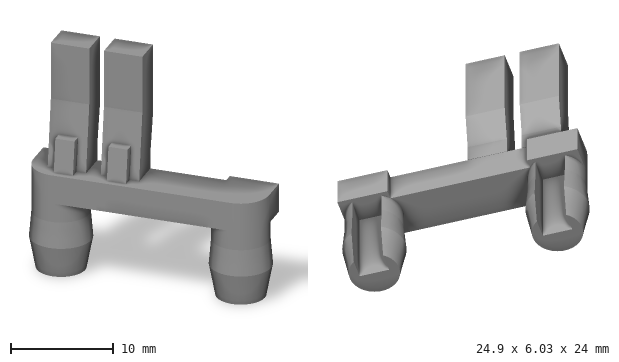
import cadquery as cq


pin_spacing = 18.6
pin_diameter = 5.8
barb_diameter = 6.26
tip_diameter = 5.0
pin_length = 11.01
barb_start_depth = 5.0
barb_depth = 7.7
slot_width = 2.98

bar_height = 3.0
notch_depth = 1.0
end_block_length = 5.1

prong_pitch = 5.5
prong_width = 3.98
prong_height = 12.98
prong_back = 2.64
prong_thickness = 3.0
prong_front_bend = 6.99
prong_back_bend = 5.47
prong_foot_height = 1.8
prong_foot_back = 1.95
prong_foot_front = -1.27

tab_width = 2.0
tab_height = 3.48
tab_thickness = 1.0

pin_radius = pin_diameter / 2
bar_front = -pin_radius
bar_back = pin_radius
bar_length = pin_spacing + pin_diameter
prong_front = prong_back - prong_thickness
front_slope = (prong_front - prong_foot_front) / prong_front_bend
pin_places = (-pin_spacing / 2, pin_spacing / 2)
prong_places = (-1.5 * prong_pitch, -0.5 * prong_pitch)


def box(x_min, x_max, y_min, y_max, z_min, z_max):
    size = (x_max - x_min, y_max - y_min, z_max - z_min)
    return cq.Workplane("XY").box(*size, centered=False).translate((x_min, y_min, z_min))


def side_profile(points, width, x_center):
    """Extrude a (Y, Z) outline along X, centred on x_center."""
    solid = cq.Workplane("YZ").polyline(points).close().extrude(width / 2, both=True)
    return solid.translate((x_center, 0, 0))


def make_bar():
    """Bar with a long notch along its back; the pins fill in its rounded front corners."""
    half_length = bar_length / 2
    back_half = box(-half_length, half_length, 0, bar_back, -bar_height, 0)
    front_half = box(-pin_spacing / 2, pin_spacing / 2, bar_front, 0, -bar_height, 0)
    notch_end = half_length - end_block_length
    notch = box(-notch_end, notch_end, bar_back - notch_depth, bar_back, -bar_height, 0)
    return back_half.union(front_half).cut(notch)


def make_pin(x_center):
    """Round pin with a barb, slotted from the back up to the underside of the bar."""
    outline = [
        (0, 0),
        (pin_radius, 0),
        (pin_radius, -barb_start_depth),
        (barb_diameter / 2, -barb_depth),
        (tip_diameter / 2, -pin_length),
        (0, -pin_length),
    ]
    pin = cq.Workplane("XZ").polyline(outline).close().revolve(360, (0, 0, 0), (0, 1, 0))
    slot = box(-slot_width / 2, slot_width / 2, 0, barb_diameter / 2, -pin_length, -bar_height)
    return pin.cut(slot).translate((x_center, 0, 0))


def make_prong(x_center):
    """Prong that leans backward from its foot and then stands upright."""
    outline = [
        (prong_foot_front, 0),
        (prong_front, prong_front_bend),
        (prong_front, prong_height),
        (prong_back, prong_height),
        (prong_back, prong_back_bend),
        (prong_foot_back, prong_foot_height),
        (prong_foot_back, 0),
    ]
    return side_profile(outline, prong_width, x_center)


def make_tab(x_center):
    """Short tab whose front runs parallel to the leaning front of the prong."""
    top_shift = front_slope * tab_height
    outline = [
        (prong_foot_front, 0),
        (prong_foot_front - tab_thickness, 0),
        (prong_foot_front - tab_thickness + top_shift, tab_height),
        (prong_foot_front + top_shift, tab_height),
    ]
    return side_profile(outline, tab_width, x_center)


result = make_bar()
for x in pin_places:
    result = result.union(make_pin(x))
for x in prong_places:
    result = result.union(make_prong(x)).union(make_tab(x))